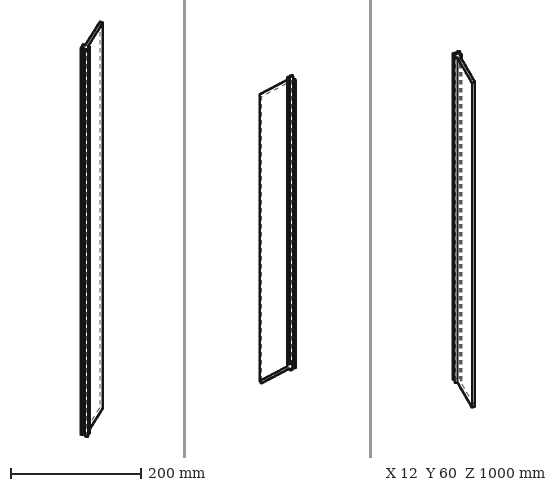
import cadquery as cq

length = 1000.0
total_depth = 60.0

rail_width = 12.0
rail_depth = 10.0
corner_radius = 1.0
blade_thickness = 5.0

slot_width = 4.0
slot_depth = 3.0

groove_width = 3.0
groove_depth = 2.0

front_y = -total_depth / 2
rail_center_y = front_y + rail_depth / 2


def full_length_bar(width, depth, center_x, center_y):
    """Rectangular bar running the whole length, centred on Z."""
    return cq.Workplane("XY").box(width, depth, length).translate((center_x, center_y, 0))


def make_rail():
    """Rounded rail with a front slot and a groove along each side."""
    rail = full_length_bar(rail_width, rail_depth, 0, rail_center_y)
    rail = rail.edges("|Z").fillet(corner_radius)
    rail = rail.cut(full_length_bar(slot_width, slot_depth, 0, front_y + slot_depth / 2))
    for side in (-1, 1):
        groove_x = side * (rail_width - groove_depth) / 2
        rail = rail.cut(full_length_bar(groove_depth, groove_width, groove_x, rail_center_y))
    return rail


def make_blade():
    """Plain blade from the middle of the rail to the rear face."""
    blade_depth = total_depth - rail_depth / 2
    return full_length_bar(blade_thickness, blade_depth, 0, rail_center_y + blade_depth / 2)


result = make_rail().union(make_blade())